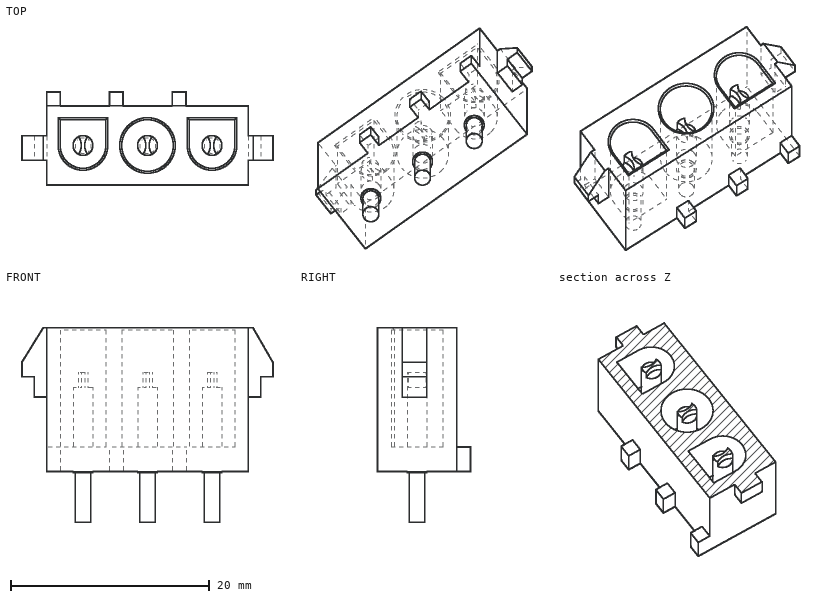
import cadquery as cq

body_length = 20.35
body_depth = 8.0
body_height = 14.5

pitch = 6.5
keyed_positions = [-pitch, pitch]
round_position = 0
circuit_positions = [round_position, *keyed_positions]

round_cavity_radius = 2.6
keyed_cavity_radius = 2.3
keyed_cavity_back = 2.6
cavity_depth = 12.0
rim_chamfer = 0.2
cavity_floor = body_height - cavity_depth

contact_radius = 1.0
contact_top = 10.0
contact_overhang = 0.1
tail_radius = 0.8
tail_length = 5.1
tip_scallop_radius = 1.5
tip_scallop_height = 1.5
tip_web = 0.34

standoff_width = 1.4
standoff_projection = 1.4
standoff_height = 2.5
standoff_pitch = 6.33
standoff_count = 3

latch_width = 2.5
latch_center_y = -0.25
latch_projection = 2.475
latch_stem_projection = 1.25
latch_hook_drop = 4.95
latch_stem_drop = 7.0
left_ramp_top, left_ramp_drop = 0.34, 3.45
right_ramp_top, right_ramp_drop = 0.46, 3.5


def make_housing():
    return cq.Workplane("XY").box(body_length, body_depth, body_height, centered=(True, True, False))


def make_standoff(index):
    left_edge = -body_length / 2 + index * standoff_pitch
    block = cq.Workplane("XY").box(standoff_width, standoff_projection, standoff_height, centered=False)
    return block.translate((left_edge, body_depth / 2, 0))


def make_latch(side, ramp_top, ramp_drop):
    """Hooked latch on one end of the housing; side is -1 for the -X end, +1 for the +X end."""
    profile = [
        (0, 0),
        (ramp_top, 0),
        (latch_projection, -ramp_drop),
        (latch_projection, -latch_hook_drop),
        (latch_stem_projection, -latch_hook_drop),
        (latch_stem_projection, -latch_stem_drop),
        (0, -latch_stem_drop),
    ]
    points = [(side * (body_length / 2 + out), body_height + rise) for out, rise in profile]
    latch = cq.Workplane("XZ").polyline(points).close().extrude(latch_width / 2, both=True)
    return latch.translate((0, latch_center_y, 0))


def keyed_outline(plane):
    """D-shaped outline: square corners toward +Y, a half circle toward -Y."""
    return (
        plane.moveTo(-keyed_cavity_radius, 0)
        .lineTo(-keyed_cavity_radius, keyed_cavity_back)
        .lineTo(keyed_cavity_radius, keyed_cavity_back)
        .lineTo(keyed_cavity_radius, 0)
        .threePointArc((0, -keyed_cavity_radius), (-keyed_cavity_radius, 0))
        .close()
    )


def cut_cavities(housing):
    """Sink a round cavity in the middle and a D-shaped one on each side of it."""
    floor = cq.Workplane("XY", origin=(round_position, 0, cavity_floor))
    housing = housing.cut(floor.circle(round_cavity_radius).extrude(cavity_depth))
    for x in keyed_positions:
        floor = cq.Workplane("XY", origin=(x, 0, cavity_floor))
        housing = housing.cut(keyed_outline(floor).extrude(cavity_depth))
    return housing


def chamfer_rims(housing):
    """Break the edges of the cavity mouths, leaving the outer edges of the top face sharp."""
    top_face = housing.faces(">Z").val()
    rim_edges = [edge for wire in top_face.innerWires() for edge in wire.Edges()]
    return housing.newObject(rim_edges).chamfer(rim_chamfer)


def make_contact(x):
    """Contact with a solder tail below and two scallops that pinch its tip to a narrow web."""
    base = cq.Workplane("XY", origin=(x, 0, -contact_overhang))
    shank = base.circle(contact_radius).extrude(contact_top + contact_overhang)
    tail = base.circle(tail_radius).extrude(contact_overhang - tail_length)
    scallop_offset = tip_web / 2 + tip_scallop_radius
    scallops = (
        cq.Workplane("XY", origin=(x, 0, contact_top))
        .pushPoints([(-scallop_offset, 0), (scallop_offset, 0)])
        .circle(tip_scallop_radius)
        .extrude(-tip_scallop_height)
    )
    return shank.cut(scallops).union(tail)


result = chamfer_rims(cut_cavities(make_housing()))

for index in range(standoff_count):
    result = result.union(make_standoff(index))

result = result.union(make_latch(-1, left_ramp_top, left_ramp_drop))
result = result.union(make_latch(1, right_ramp_top, right_ramp_drop))

for x in circuit_positions:
    result = result.union(make_contact(x))